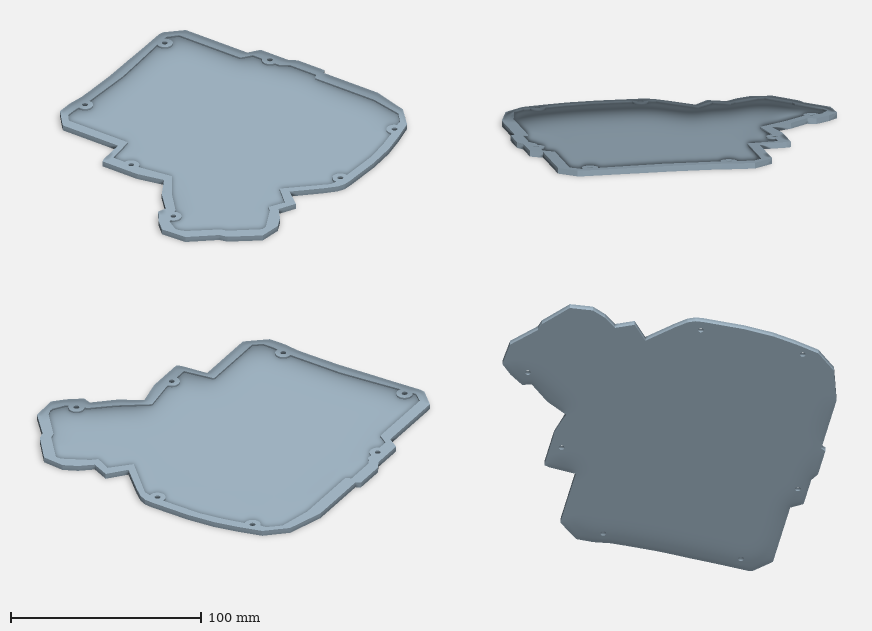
import cadquery as cq

plate_width = 166.0
plate_length = 179.3
thickness = 3.0
pocket_depth = 0.99

hole_diameter = 3.0
boss_diameter = 8.6
screw_positions = [
    (7.4, 153.7), (62.4, 171.5), (155.6, 152.0), (160.1, 96.0),
    (110.0, 14.3), (62.4, 43.8), (8.2, 79.0),
]

left_top_edge = 170.5
right_top_edge = 176.8
left_bottom_edge = 55.4
tab_bottom_edge = 37.8

pocket_left_top = 164.3
pocket_right_top = 170.0
pocket_crown_top = 173.0
pocket_left_bottom = 61.1
pocket_tab_bottom = 44.1

plate_outline = [
    (0.5, 161.7), (9.1, left_top_edge), (48.6, left_top_edge),
    (52.7, right_top_edge), (70.3, right_top_edge),
    (74.8, plate_length), (91.8, plate_length),
    (93.0, right_top_edge), (127.9, right_top_edge),
    (148.1, 170.7), (158.3, 159.8), (162.0, 146.5), (164.6, 134.0),
    (plate_width, 118.4), (plate_width, 96.3), (165.7, 91.8), (163.9, 87.9), (159.0, 82.3),
    (146.1, 69.2), (155.8, 61.1), (151.3, 51.6),
    (157.0, 44.8), (160.7, 37.5), (159.6, 25.3), (145.0, 13.6), (143.1, 13.1), (140.5, 12.5),
    (127.1, 0.7), (112.6, 0), (106.5, 5.7), (100.8, 13.5), (102.4, 18.1), (92.3, 28.9), (85.4, 41.0),
    (70.3, tab_bottom_edge), (48.2, tab_bottom_edge), (47.3, 40.3),
    (45.9, left_bottom_edge), (10.5, left_bottom_edge),
    (8.2, 58.0), (1.0, 66.3), (1.0, 75.5), (2.3, 84.3), (2.5, 92.5), (2.5, 110.1),
    (2.2, 117.6), (1.6, 127.1), (1.3, 136.0), (0.9, 143.5), (0, 159.2),
]

pocket_outline = [
    (4.7, 159.0), (9.1, pocket_left_top), (48.5, pocket_left_top),
    (52.4, pocket_right_top), (69.5, pocket_right_top),
    (74.2, pocket_crown_top), (91.0, pocket_crown_top),
    (92.3, pocket_right_top), (130.0, pocket_right_top),
    (148.3, 166.0), (154.0, 159.6), (154.4, 156.5), (156.7, 148.1), (159.5, 136.1),
    (161.4, 122.5), (161.4, 94.1), (159.6, 87.9),
    (140.0, 68.7), (150.3, 59.0), (145.8, 50.4),
    (148.7, 47.3), (155.8, 33.5), (155.8, 30.3), (141.5, 18.5), (137.9, 17.5), (123.7, 5.7),
    (120.1, 4.5), (118.0, 4.5), (111.5, 8.6), (107.5, 19.9), (97.5, 31.0), (86.5, 46.6),
    (67.8, pocket_tab_bottom), (50.7, pocket_tab_bottom),
    (48.2, pocket_left_bottom), (10.4, pocket_left_bottom),
    (6.8, 65.6), (6.8, 71.2), (8.0, 83.7), (8.5, 114.0), (7.2, 128.8), (5.2, 149.7),
]


def make_plate():
    """Flat plate with the full outer outline."""
    return cq.Workplane("XY").polyline(plate_outline).close().extrude(thickness)


def make_pocket():
    """Shallow recess in the top face, interrupted by a round boss at every screw."""
    floor = cq.Workplane("XY", origin=(0, 0, thickness - pocket_depth))
    recess = floor.polyline(pocket_outline).close().extrude(pocket_depth)
    bosses = floor.pushPoints(screw_positions).circle(boss_diameter / 2).extrude(pocket_depth)
    return recess.cut(bosses)


def make_screw_holes():
    """Through holes at the screw positions."""
    centers = cq.Workplane("XY").pushPoints(screw_positions)
    return centers.circle(hole_diameter / 2).extrude(thickness)


result = make_plate().cut(make_pocket()).cut(make_screw_holes())